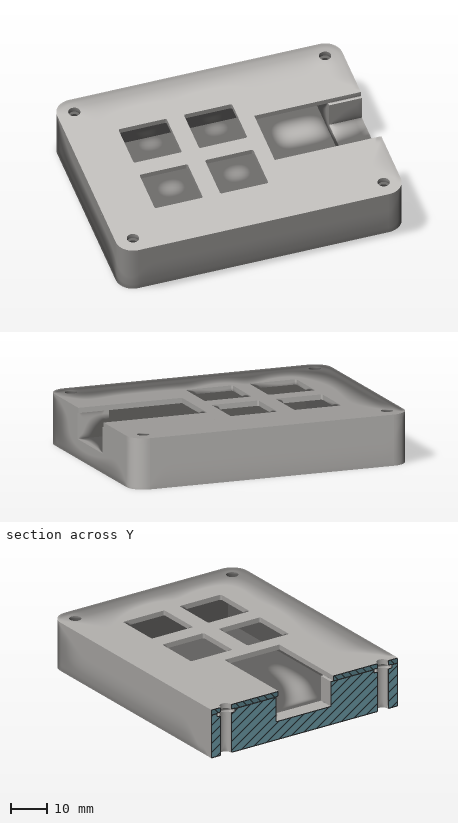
import cadquery as cq

length_x = 62.93
length_y = 82.95
total_height = 14.6
corner_radius = 5.0

plate_thickness = 1.5
base_height = total_height - plate_thickness
floor_thickness = 3.0

wall = 9.525

screw_diameter = 3.4
screw_recess_diameter = 6.0
screw_recess_depth = 1.0
screw_spacing_x = length_x - 2 * corner_radius
screw_spacing_y = length_y - 2 * corner_radius

notch_left = -8.8
notch_right = 9.5
notch_floor_z = 5.6

opening_left = -9.7
opening_right = 8.8
opening_depth = 31.0

key_size = 14.0
key_corner_radius = 0.5
key_pitch = 19.05
key_center_x = 0.45
key_center_y = -10.5
keys_per_side = 2


def screw_cutters(diameter, bottom_z, height):
    """Four upright cylinders on the screw axes."""
    return (
        cq.Workplane("XY")
        .workplane(offset=bottom_z)
        .rect(screw_spacing_x, screw_spacing_y, forConstruction=True)
        .vertices()
        .circle(diameter / 2)
        .extrude(height)
    )


def rounded_slab(bottom_z, height):
    """Enclosure outline with rounded vertical corners and four screw holes."""
    slab = (
        cq.Workplane("XY")
        .workplane(offset=bottom_z)
        .rect(length_x, length_y)
        .extrude(height)
        .edges("|Z")
        .fillet(corner_radius)
    )
    return slab.cut(screw_cutters(screw_diameter, bottom_z, height))


def back_cutter(left, right, depth, bottom_z, top_z):
    """Box that cuts inward from the back (+Y) edge between two X positions."""
    cutter = cq.Workplane("XY").box(right - left, depth, top_z - bottom_z, centered=False)
    return cutter.translate((left, length_y / 2 - depth, bottom_z))


def make_base():
    """Open-topped tray with a cable notch in its back wall and recesses around its screw holes."""
    cavity = (
        cq.Workplane("XY")
        .workplane(offset=floor_thickness)
        .rect(length_x - 2 * wall, length_y - 2 * wall)
        .extrude(base_height - floor_thickness)
    )
    notch = back_cutter(notch_left, notch_right, wall, notch_floor_z, base_height)
    recesses = screw_cutters(screw_recess_diameter, base_height - screw_recess_depth, screw_recess_depth)
    return rounded_slab(0, base_height).cut(cavity).cut(notch).cut(recesses)


def make_plate():
    """Flat cover with a controller opening and a grid of key openings."""
    opening = back_cutter(opening_left, opening_right, opening_depth, base_height, total_height)
    key_openings = (
        cq.Workplane("XY")
        .workplane(offset=base_height)
        .center(key_center_x, key_center_y)
        .rarray(key_pitch, key_pitch, keys_per_side, keys_per_side)
        .rect(key_size, key_size)
        .extrude(plate_thickness)
        .edges("|Z")
        .fillet(key_corner_radius)
    )
    return rounded_slab(base_height, plate_thickness).cut(opening).cut(key_openings)


base = make_base()
plate = make_plate()

result = cq.Compound.makeCompound([base.val(), plate.val()])